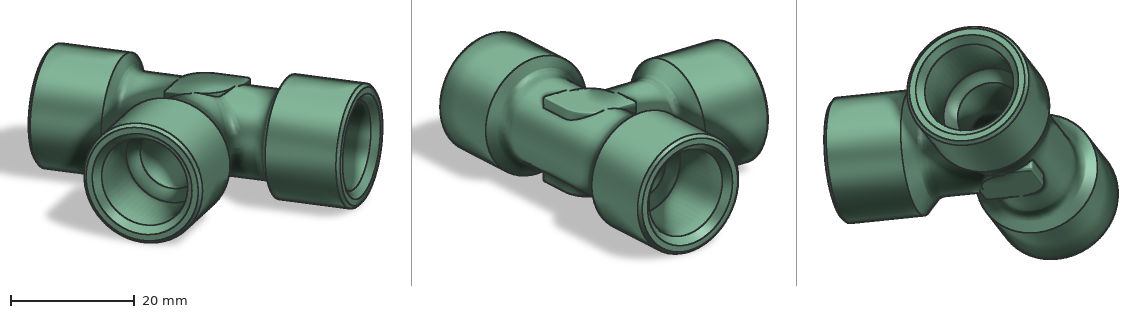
import cadquery as cq
import math

run_half_length = 27.0
branch_length = 29.0
collar_radius = 10.25
tube_radius = 7.5
run_collar_start = 14.2
branch_collar_start = 15.95
run_shoulder_angle = 60.0
branch_shoulder_angle = 45.0
shoulder_fillet = 2.0
rim_chamfer = 0.55
crotch_fillet = 2.0
edge_tolerance = 0.05

bore_radius = 5.45
socket_radius = 7.45
mouth_radius = 8.65
socket_depth = 12.4
socket_tip_angle = 118.0

pad_long_reach = 6.0
pad_radius = 5.0
pad_edge_fillet = 0.5
pad_height = 2.7

run_directions = (0, 180)
branch_direction = -90


def arm_body(length, collar_start, shoulder_angle):
    """Tube and end collar along +X, with a filleted conical shoulder between them."""
    shoulder_length = (collar_radius - tube_radius) / math.tan(math.radians(shoulder_angle))
    shoulder_start = collar_start - shoulder_length
    profile = (
        cq.Workplane("XY")
        .lineTo(0, tube_radius)
        .lineTo(shoulder_start, tube_radius)
        .lineTo(collar_start, collar_radius)
        .lineTo(length - rim_chamfer, collar_radius)
        .lineTo(length, collar_radius - rim_chamfer)
        .lineTo(length, 0)
        .close()
    )
    body = profile.revolve(360, (0, 0, 0), (1, 0, 0))
    shoulder_foot = cq.selectors.BoxSelector(
        (shoulder_start - edge_tolerance, -collar_radius, -collar_radius),
        (shoulder_start + edge_tolerance, collar_radius, collar_radius),
    )
    return body.edges(shoulder_foot).edges("%CIRCLE").fillet(shoulder_fillet)


def arm_cavity(length):
    """Bore, conical socket bottom, socket and 45 degree mouth along +X."""
    socket_bottom = length - socket_depth
    cone_length = (socket_radius - bore_radius) / math.tan(math.radians(socket_tip_angle / 2))
    mouth_depth = mouth_radius - socket_radius
    profile = (
        cq.Workplane("XY")
        .lineTo(0, bore_radius)
        .lineTo(socket_bottom - cone_length, bore_radius)
        .lineTo(socket_bottom, socket_radius)
        .lineTo(length - mouth_depth, socket_radius)
        .lineTo(length, mouth_radius)
        .lineTo(length, 0)
        .close()
    )
    return profile.revolve(360, (0, 0, 0), (1, 0, 0))


def turned(shape, direction):
    return shape.rotate((0, 0, 0), (0, 0, 1), direction)


def top_pad():
    """Leaf-shaped pad with two square corners, flush with the top of the tubes."""
    arc_middle = pad_radius * math.sqrt(0.5)
    pad_base = tube_radius - pad_height
    rounded_block = (
        cq.Workplane("XY", origin=(0, 0, pad_base))
        .moveTo(0, pad_radius)
        .lineTo(pad_long_reach, pad_radius)
        .lineTo(pad_long_reach, -pad_long_reach)
        .lineTo(-pad_radius, -pad_long_reach)
        .lineTo(-pad_radius, 0)
        .threePointArc((-arc_middle, arc_middle), (0, pad_radius))
        .close()
        .extrude(pad_height)
    )
    corner_points = ((pad_long_reach, pad_radius), (-pad_radius, -pad_long_reach))
    for x, y in corner_points:
        corner = cq.selectors.NearestToPointSelector((x, y, pad_base + pad_height / 2))
        rounded_block = rounded_block.edges("|Z").edges(corner).fillet(pad_edge_fillet)
    rounded_block = rounded_block.faces(">Z").edges().fillet(pad_edge_fillet)

    crotch_quarter = (
        cq.Workplane("XY", origin=(0, 0, pad_base))
        .rect(pad_long_reach, -pad_long_reach, centered=False)
        .extrude(pad_height)
    )
    disc = cq.Workplane("XY", origin=(0, 0, pad_base)).circle(pad_radius).extrude(pad_height)
    return rounded_block.cut(crotch_quarter).union(disc.intersect(crotch_quarter))


run_arm = arm_body(run_half_length, run_collar_start, run_shoulder_angle)
run_cavity = arm_cavity(run_half_length)
branch_arm = arm_body(branch_length, branch_collar_start, branch_shoulder_angle)
branch_cavity = arm_cavity(branch_length)

body = turned(branch_arm, branch_direction)
for direction in run_directions:
    body = body.union(turned(run_arm, direction))

pad = top_pad()
body = body.union(pad).union(pad.mirror("XY"))

crotch_region = cq.selectors.BoxSelector(
    (pad_radius, -tube_radius, -tube_radius),
    (tube_radius, -pad_radius, tube_radius),
)
body = body.edges(crotch_region).edges("%ELLIPSE").fillet(crotch_fillet)

result = body.cut(turned(branch_cavity, branch_direction))
for direction in run_directions:
    result = result.cut(turned(run_cavity, direction))